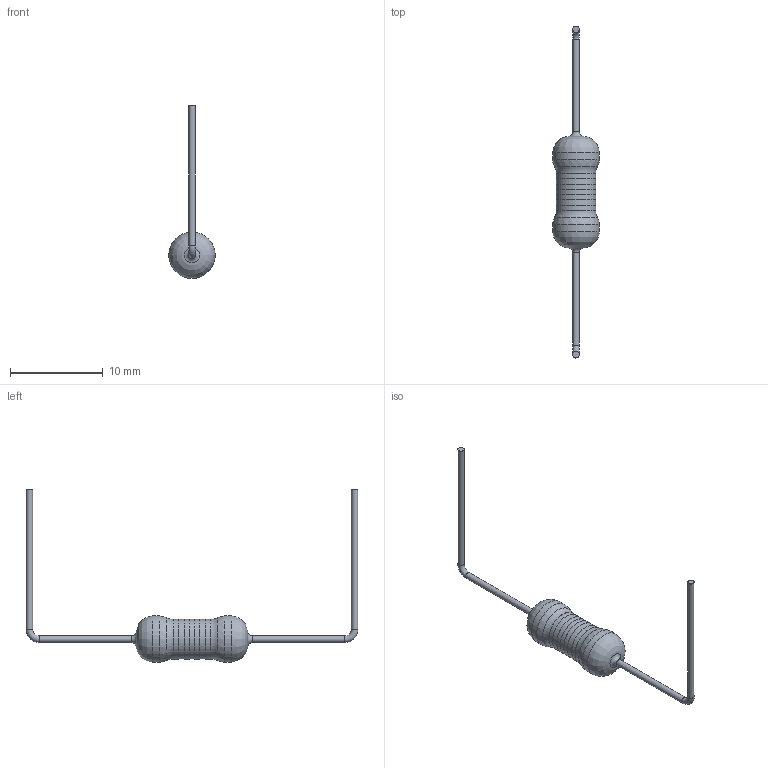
import cadquery as cq
import math

lead_diameter = 0.7
lead_pitch = 35.0
lead_height = 16.1
bend_radius = 1.5 * lead_diameter

cap_diameter = 5.0
waist_diameter = 4.25
waist_half_length = 2.0
shoulder_length = 1.5
cap_length = 0.75
cap_end_radius = 1.75
neck_fillet = 0.5

band_diameter = 4.27
band_width = 0.54
band_offsets = (0.53, 1.73)

lead_radius = lead_diameter / 2
cap_radius = cap_diameter / 2
waist_radius = waist_diameter / 2
cap_start = waist_half_length + shoulder_length
cap_end = cap_start + cap_length

cap_arc_center_radius = cap_radius - cap_end_radius
neck_arc_center_radius = lead_radius + neck_fillet
contact_angle = math.acos(
    (neck_arc_center_radius - cap_arc_center_radius) / (cap_end_radius + neck_fillet)
)
neck_end = cap_end + (cap_end_radius + neck_fillet) * math.sin(contact_angle)


def arc_point(center, radius, angle):
    """Point at the given angle (radians) on a circle."""
    return (center[0] + radius * math.cos(angle), center[1] + radius * math.sin(angle))


def make_body():
    """Revolve the profile of the waist, shoulders, rounded caps and necks."""
    shoulder_middle = (
        (waist_radius + cap_radius) / 2,
        waist_half_length + shoulder_length / 2,
    )
    cap_center = (cap_arc_center_radius, cap_end)
    neck_center = (neck_arc_center_radius, neck_end)
    neck_contact_angle = math.pi + contact_angle
    neck_middle_angle = (math.pi + neck_contact_angle) / 2

    half_profile = (
        cq.Workplane("XY")
        .moveTo(waist_radius, 0)
        .lineTo(waist_radius, waist_half_length)
        .tangentArcPoint(shoulder_middle, relative=False)
        .tangentArcPoint((cap_radius, cap_start), relative=False)
        .lineTo(cap_radius, cap_end)
        .threePointArc(
            arc_point(cap_center, cap_end_radius, contact_angle / 2),
            arc_point(cap_center, cap_end_radius, contact_angle),
        )
        .threePointArc(
            arc_point(neck_center, neck_fillet, neck_middle_angle),
            (lead_radius, neck_end),
        )
        .lineTo(0, neck_end)
    )
    return half_profile.mirrorX().revolve(360, (0, 0, 0), (0, 1, 0))


def make_band(center):
    """Thin disc that stands slightly proud of the waist, centred at Y = center."""
    return (
        cq.Workplane("XZ", origin=(0, center + band_width / 2, 0))
        .circle(band_diameter / 2)
        .extrude(band_width)
    )


def make_lead():
    """Sweep the +Y wire from the neck outwards, round the bend and up."""
    lead_y = lead_pitch / 2
    bend_start_y = lead_y - bend_radius
    bend_middle = arc_point((bend_start_y, bend_radius), bend_radius, -math.pi / 4)
    path = (
        cq.Workplane("YZ")
        .moveTo(neck_end, 0)
        .lineTo(bend_start_y, 0)
        .threePointArc(bend_middle, (lead_y, bend_radius))
        .lineTo(lead_y, lead_height)
    )
    return cq.Workplane("XZ", origin=(0, neck_end, 0)).circle(lead_radius).sweep(path)


resistor = make_body()
for band_offset in band_offsets:
    for side in (-1, 1):
        resistor = resistor.union(make_band(side * band_offset))

lead = make_lead()
result = resistor.union(lead).union(lead.mirror("XZ"))